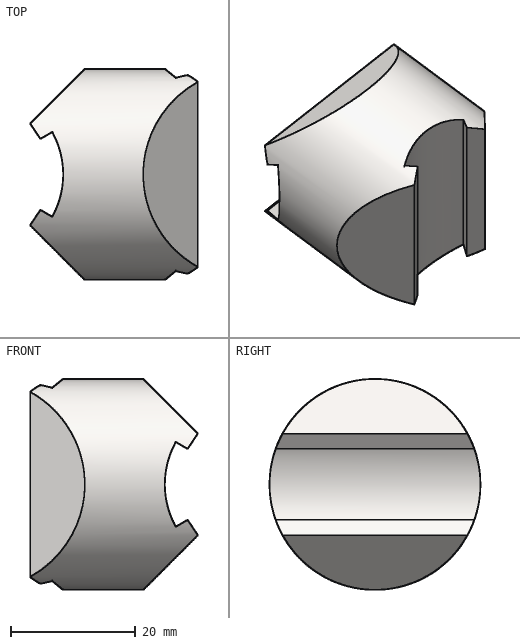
import cadquery as cq
import math

length = 27.04
bar_diameter = 34.0
bevel_angle = 45.0

tip_half_width = 8.18
lip_half_width = 5.7
lip_depth = 1.67
lip_back_angle = 30.0
bore_half_width = 6.8
bore_depth = 5.32

cutter_margin = 1.0
bar_radius = bar_diameter / 2
half_length = length / 2
bevel_depth = (bar_radius - tip_half_width) / math.tan(math.radians(bevel_angle))
lip_face_rise = bore_half_width - lip_half_width
shoulder_depth = lip_depth + lip_face_rise / math.tan(math.radians(lip_back_angle))


def end_cutter():
    """Material removed at the +X end: bevels and groove, extruded along Y."""
    outer = bar_radius + cutter_margin
    outer_depth = bevel_depth + cutter_margin / math.tan(math.radians(bevel_angle))
    beyond_end = half_length + cutter_margin

    def at_depth(depth, height):
        return (half_length - depth, height)

    return (
        cq.Workplane("XZ")
        .moveTo(beyond_end, outer)
        .lineTo(*at_depth(outer_depth, outer))
        .lineTo(*at_depth(0, tip_half_width))
        .lineTo(*at_depth(lip_depth, lip_half_width))
        .lineTo(*at_depth(shoulder_depth, bore_half_width))
        .threePointArc(at_depth(bore_depth, 0), at_depth(shoulder_depth, -bore_half_width))
        .lineTo(*at_depth(lip_depth, -lip_half_width))
        .lineTo(*at_depth(0, -tip_half_width))
        .lineTo(*at_depth(outer_depth, -outer))
        .lineTo(beyond_end, -outer)
        .close()
        .extrude(outer, both=True)
    )


def opposite_end(cutter):
    """Turn the +X cutter to the -X end, with its groove running along Z."""
    origin = (0, 0, 0)
    return cutter.rotate(origin, (0, 0, 1), 180).rotate(origin, (1, 0, 0), 90)


bar = cq.Workplane("YZ").circle(bar_radius).extrude(half_length, both=True)
plus_x_cutter = end_cutter()
result = bar.cut(plus_x_cutter).cut(opposite_end(plus_x_cutter))